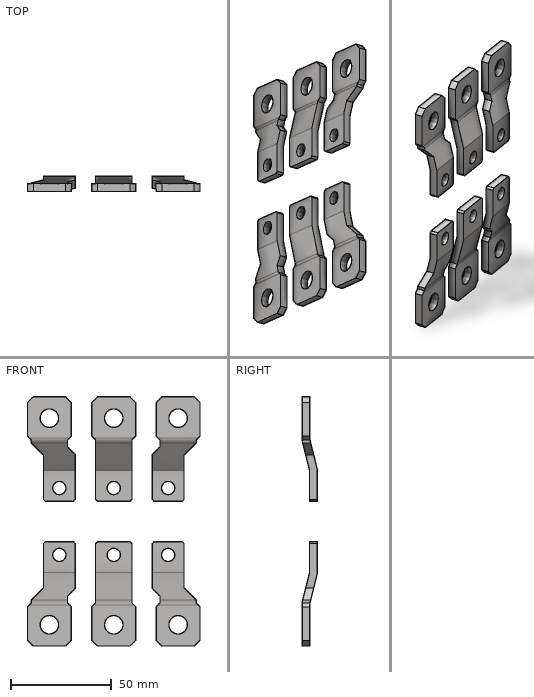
import cadquery as cq
import math


total_height = 124.1
bar_pitch = 32.0
total_depth = 7.7

bar_length = 52.0
thickness = 4.0
jog_angle = math.radians(14)
outer_bend_radius = 10.2
bend_start = 20.6

plate_width = 22.0
plate_chamfer = 3.0
plate_hole_diameter = 9.0
plate_hole_drop = 10.7
shoulder_drop = 19.6
shoulder_size = 1.9

tail_chamfer = 1.0
tail_hole_diameter = 6.5
tail_hole_rise = 6.6
cranked_tail_width = 16.0
cranked_tail_shift = 5.0
crank_outer_start = 23.0
crank_inner_start = 25.0

front_y = -total_depth / 2
back_y = total_depth / 2
half_plate = plate_width / 2
half_neck = half_plate - shoulder_size
neck_drop = shoulder_drop + shoulder_size
inner_bend_radius = outer_bend_radius - thickness
plate_back_y = front_y + thickness
tail_front_y = back_y - thickness


def upper_bend(radius, angle):
    """Point on the upper bend, whose centre lies behind the plate."""
    center_y = front_y + outer_bend_radius
    return (center_y - radius * math.cos(angle), -bend_start - radius * math.sin(angle))


def slope_end(start, y):
    """Point where the slope that leaves the upper bend at start reaches the given y."""
    start_y, start_z = start
    return (y, start_z - (y - start_y) / math.tan(jog_angle))


def bent_strip():
    """Strip of constant thickness with a rounded upper bend and a mitred lower bend."""
    front_slope_start = upper_bend(outer_bend_radius, jog_angle)
    back_slope_start = upper_bend(inner_bend_radius, jog_angle)
    return (
        cq.Workplane("YZ")
        .moveTo(front_y, 0)
        .lineTo(front_y, -bend_start)
        .threePointArc(upper_bend(outer_bend_radius, jog_angle / 2), front_slope_start)
        .lineTo(*slope_end(front_slope_start, tail_front_y))
        .lineTo(tail_front_y, -bar_length)
        .lineTo(back_y, -bar_length)
        .lineTo(*slope_end(back_slope_start, back_y))
        .lineTo(*back_slope_start)
        .threePointArc(upper_bend(inner_bend_radius, jog_angle / 2), (plate_back_y, -bend_start))
        .lineTo(plate_back_y, 0)
        .close()
        .extrude(plate_width, both=True)
    )


def through_y(sketch):
    """Extrude an XZ sketch through the whole depth of the bars."""
    return sketch.extrude(total_depth, both=True)


def cut_bar(left_crank, right_crank, tail_left, tail_right):
    """Trim the bent strip to a front outline and drill its two holes."""
    outline = [
        (-half_plate + plate_chamfer, 0),
        (-half_plate, -plate_chamfer),
        (-half_plate, -shoulder_drop),
        (-half_neck, -neck_drop),
        *left_crank,
        (tail_left, -bar_length + tail_chamfer),
        (tail_left + tail_chamfer, -bar_length),
        (tail_right - tail_chamfer, -bar_length),
        (tail_right, -bar_length + tail_chamfer),
        *right_crank,
        (half_neck, -neck_drop),
        (half_plate, -shoulder_drop),
        (half_plate, -plate_chamfer),
        (half_plate - plate_chamfer, 0),
    ]
    tail_center = (tail_left + tail_right) / 2
    tail_hole_z = -bar_length + tail_hole_rise
    blank = through_y(cq.Workplane("XZ").polyline(outline).close())
    plate_hole = through_y(cq.Workplane("XZ").center(0, -plate_hole_drop).circle(plate_hole_diameter / 2))
    tail_hole = through_y(cq.Workplane("XZ").center(tail_center, tail_hole_z).circle(tail_hole_diameter / 2))
    return bent_strip().intersect(blank).cut(plate_hole).cut(tail_hole)


def straight_bar():
    """Middle bar: the tail is as wide as the neck and in line with the plate."""
    return cut_bar([], [], -half_neck, half_neck)


def cranked_bar():
    """Left bar: 45 degree edges carry the narrower tail sideways toward +X."""
    tail_left = cranked_tail_shift - cranked_tail_width / 2
    tail_right = cranked_tail_shift + cranked_tail_width / 2
    left_crank = [
        (-half_neck, -crank_outer_start),
        (tail_left, -crank_outer_start - (tail_left + half_neck)),
    ]
    right_crank = [
        (tail_right, -crank_inner_start - (tail_right - half_neck)),
        (half_neck, -crank_inner_start),
    ]
    return cut_bar(left_crank, right_crank, tail_left, tail_right)


left_bar = cranked_bar().translate((-bar_pitch, 0, total_height / 2))
right_bar = left_bar.mirror("YZ")
middle_bar = straight_bar().translate((0, 0, total_height / 2))

bars = []
for bar in (left_bar, middle_bar, right_bar):
    bars.append(bar.val())
    bars.append(bar.mirror("XY").val())

result = cq.Compound.makeCompound(bars)